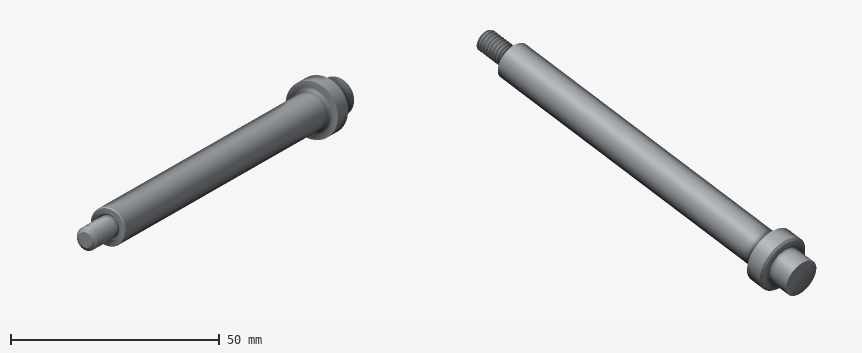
import cadquery as cq

LENGTH = 111.0

HEAD_DIAMETER = 10.0
HEAD_LENGTH = 6.0
SCREW_DIAMETER = 6.0
EXPOSED_THREAD_LENGTH = 10.0
THREAD_PITCH = 1.0
THREAD_DEPTH = 0.5
CREST_FLAT = THREAD_PITCH / 8
TIP_CHAMFER_DEPTH = 1.0
TIP_CHAMFER_LENGTH = 0.7
CUT_OVERSHOOT = 0.1
THREAD_RUN_IN = 1.5 * THREAD_PITCH

SLEEVE_DIAMETER = HEAD_DIAMETER
SLEEVE_END_CHAMFER = 0.2
COLLAR_DIAMETER = 15.0
COLLAR_WIDTH = 5.0
COLLAR_CHAMFER = 0.5
COLLAR_FILLET = 1.0
BORE_CHAMFER = 0.3

screw_radius = SCREW_DIAMETER / 2
head_radius = HEAD_DIAMETER / 2
sleeve_radius = SLEEVE_DIAMETER / 2
collar_radius = COLLAR_DIAMETER / 2

head_y = -HEAD_LENGTH
collar_y = head_y - COLLAR_WIDTH
sleeve_end_y = EXPOSED_THREAD_LENGTH - LENGTH


def revolve_about_y(profile):
    """Solid of revolution of a closed XY profile about the Y axis."""
    return profile.close().revolve(360, (0, 0, 0), (0, 1, 0))


def make_thread_groove():
    """Helical V-groove from one pitch beyond the screw's tip to half a pitch inside the sleeve."""
    root_radius = screw_radius - THREAD_DEPTH
    outer_radius = screw_radius + CUT_OVERSHOOT
    half_width = (THREAD_PITCH - CREST_FLAT) / 2
    outer_half_width = half_width * (outer_radius - root_radius) / THREAD_DEPTH
    groove_length = EXPOSED_THREAD_LENGTH + THREAD_RUN_IN
    helix = cq.Wire.makeHelix(THREAD_PITCH, groove_length, screw_radius)
    profile = (
        cq.Workplane("XZ")
        .moveTo(root_radius, 0)
        .lineTo(outer_radius, -outer_half_width)
        .lineTo(outer_radius, outer_half_width)
        .close()
    )
    groove = profile.sweep(cq.Workplane(obj=helix), isFrenet=True)
    return groove.rotate((0, 0, 0), (1, 0, 0), -90).translate((0, -LENGTH - THREAD_PITCH, 0))


def make_screw():
    """Screw that runs through the sleeve, its thread standing out of the far end."""
    blank = revolve_about_y(
        cq.Workplane("XY")
        .lineTo(head_radius, 0)
        .lineTo(head_radius, head_y)
        .lineTo(screw_radius, head_y)
        .lineTo(screw_radius, -LENGTH + TIP_CHAMFER_LENGTH)
        .lineTo(screw_radius - TIP_CHAMFER_DEPTH, -LENGTH)
        .lineTo(0, -LENGTH)
    )
    return blank.cut(make_thread_groove()).solids()


def make_sleeve():
    """Tube with a chamfered collar at the head end and a close-fitting bore for the screw."""
    return revolve_about_y(
        cq.Workplane("XY")
        .moveTo(screw_radius, head_y)
        .lineTo(collar_radius - COLLAR_CHAMFER, head_y)
        .lineTo(collar_radius, head_y - COLLAR_CHAMFER)
        .lineTo(collar_radius, collar_y)
        .lineTo(sleeve_radius + COLLAR_FILLET, collar_y)
        .radiusArc((sleeve_radius, collar_y - COLLAR_FILLET), -COLLAR_FILLET)
        .lineTo(sleeve_radius, sleeve_end_y + SLEEVE_END_CHAMFER)
        .lineTo(sleeve_radius - SLEEVE_END_CHAMFER, sleeve_end_y)
        .lineTo(screw_radius + BORE_CHAMFER, sleeve_end_y)
        .lineTo(screw_radius, sleeve_end_y + BORE_CHAMFER)
    )


screw = make_screw()
sleeve = make_sleeve()
result = cq.Compound.makeCompound([screw.val(), sleeve.val()])